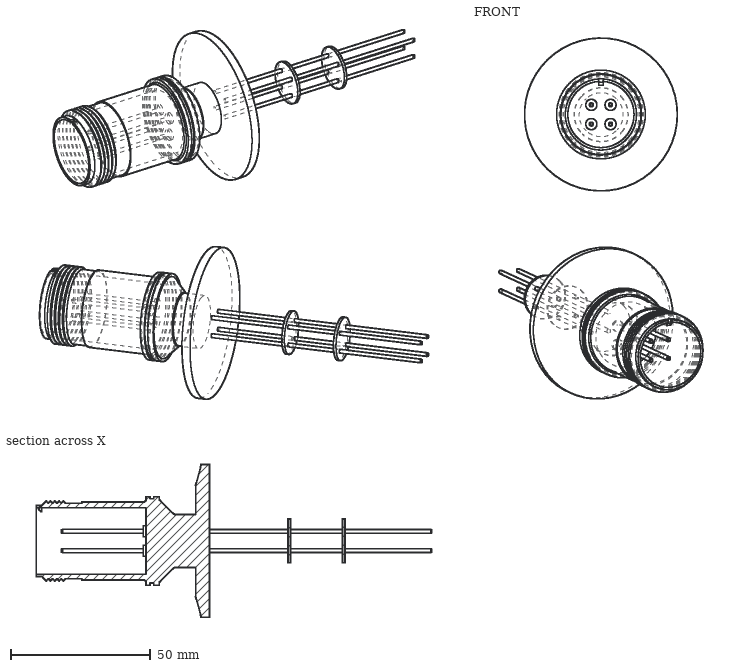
import cadquery as cq


FLANGE_RADIUS = 27.5
TOTAL_LENGTH = 142.11
CONNECTOR_LENGTH = 62.3
ROD_LENGTH = TOTAL_LENGTH - CONNECTOR_LENGTH

FLANGE_RIM_THICKNESS = 3.1
FLANGE_THICKNESS = 5.1
FLANGE_FACE_RADIUS = 20.0

NECK_RADIUS = 9.6
NECK_END = 12.9
NECK_WELD_START = 12.5
NECK_WELD_RADIUS = 9.75
CONE_RADIUS = 14.9
CONE_END = NECK_END + CONE_RADIUS - NECK_WELD_RADIUS

COLLAR_RADIUS = 15.95
COLLAR_GROOVE_RADIUS = 15.2
COLLAR_GROOVE_START = 20.1
COLLAR_GROOVE_END = 21.4
COLLAR_END = 22.9
BEAD_RADIUS = 14.6
BEAD_END = 23.5

SHELL_RADIUS = 14.05
SHELL_END = 45.9
THREAD_ROOT_RADIUS = 13.6
THREAD_CREST_RADIUS = 14.4
THREAD_START = 51.75
THREAD_PITCH = 1.55
THREAD_COUNT = 5
LIP_RADIUS = 12.8
LIP_START = 60.3

BORE_RADIUS = 11.9
BORE_DEPTH = CONNECTOR_LENGTH - COLLAR_END
KEY_WIDTH = 1.6
KEY_NOSE_RADIUS = 11.5
KEY_INNER_RADIUS = 10.5

PIN_SPACING = 6.9
PIN_RADIUS = 0.7
PIN_TIP_DEPTH = 9.0
PIN_TIP_TAPER = 0.2
PIN_TIP_LENGTH = 0.45
BUSHING_RADIUS = 2.0
BUSHING_HEIGHT = 1.0

DISC_RADIUS = 7.9
DISC_THICKNESS = 1.0
DISC_CENTERS = (28.6, 48.2)


def cylinder(radius, start, end):
    """Cylinder on the Y axis between two Y positions."""
    return cq.Workplane("XZ", origin=(0, start, 0)).circle(radius).extrude(start - end)


def make_body():
    """Revolve the flange, neck, collar, shell and threaded end as one solid."""
    outline = [
        (0, 0),
        (FLANGE_RADIUS, 0),
        (FLANGE_RADIUS, FLANGE_RIM_THICKNESS),
        (FLANGE_FACE_RADIUS, FLANGE_THICKNESS),
        (NECK_RADIUS, FLANGE_THICKNESS),
        (NECK_RADIUS, NECK_WELD_START),
        (NECK_WELD_RADIUS, NECK_END),
        (CONE_RADIUS, CONE_END),
        (COLLAR_RADIUS, CONE_END),
        (COLLAR_RADIUS, COLLAR_GROOVE_START),
        (COLLAR_GROOVE_RADIUS, COLLAR_GROOVE_START),
        (COLLAR_GROOVE_RADIUS, COLLAR_GROOVE_END),
        (COLLAR_RADIUS, COLLAR_GROOVE_END),
        (COLLAR_RADIUS, COLLAR_END),
        (BEAD_RADIUS, COLLAR_END),
        (SHELL_RADIUS, BEAD_END),
        (SHELL_RADIUS, SHELL_END),
        (THREAD_ROOT_RADIUS, SHELL_END),
    ]
    for ring in range(THREAD_COUNT):
        root = THREAD_START + ring * THREAD_PITCH
        outline.append((THREAD_ROOT_RADIUS, root))
        outline.append((THREAD_CREST_RADIUS, root + THREAD_PITCH / 2))
    outline += [
        (LIP_RADIUS, LIP_START),
        (LIP_RADIUS, CONNECTOR_LENGTH),
        (0, CONNECTOR_LENGTH),
    ]
    points = [(radius, -distance) for radius, distance in outline]
    return cq.Workplane("XY").polyline(points).close().revolve(360, (0, 0), (0, 1))


def make_bore():
    """Socket cavity, open at the connector end."""
    return cylinder(BORE_RADIUS, -CONNECTOR_LENGTH, BORE_DEPTH - CONNECTOR_LENGTH)


def make_lip_slot():
    """Slot through the top of the lip, where the key sits."""
    depth = CONNECTOR_LENGTH - LIP_START
    height = LIP_RADIUS - KEY_INNER_RADIUS
    return (
        cq.Workplane("XY")
        .box(KEY_WIDTH, depth, height, centered=(True, False, False))
        .translate((0, -CONNECTOR_LENGTH, KEY_INNER_RADIUS))
    )


def make_key():
    """Key with a 45 degree pointed nose, set in the lip slot and reaching into the socket."""
    nose = LIP_START + LIP_RADIUS - KEY_NOSE_RADIUS
    inner_edge = nose - (KEY_NOSE_RADIUS - KEY_INNER_RADIUS)
    outline = [
        (-LIP_START, LIP_RADIUS),
        (-nose, KEY_NOSE_RADIUS),
        (-inner_edge, KEY_INNER_RADIUS),
        (-LIP_START, KEY_INNER_RADIUS),
    ]
    return cq.Workplane("YZ").polyline(outline).close().extrude(KEY_WIDTH / 2, both=True)


def make_conductor():
    """One lead: a bushing on the socket floor and a pin that becomes the rear rod."""
    floor = BORE_DEPTH - CONNECTOR_LENGTH
    tip = PIN_TIP_DEPTH - CONNECTOR_LENGTH
    tip_radius = PIN_RADIUS - PIN_TIP_TAPER
    outline = [
        (0, tip),
        (tip_radius, tip),
        (PIN_RADIUS, tip + PIN_TIP_LENGTH),
        (PIN_RADIUS, ROD_LENGTH - PIN_TIP_LENGTH),
        (tip_radius, ROD_LENGTH),
        (0, ROD_LENGTH),
    ]
    rod = cq.Workplane("XY").polyline(outline).close().revolve(360, (0, 0), (0, 1))
    return rod.union(cylinder(BUSHING_RADIUS, floor - BUSHING_HEIGHT, floor))


result = make_body().cut(make_bore()).cut(make_lip_slot()).union(make_key())

for center in DISC_CENTERS:
    half = DISC_THICKNESS / 2
    result = result.union(cylinder(DISC_RADIUS, center - half, center + half))

conductor = make_conductor()
for x in (-PIN_SPACING / 2, PIN_SPACING / 2):
    for z in (-PIN_SPACING / 2, PIN_SPACING / 2):
        result = result.union(conductor.translate((x, 0, z)))